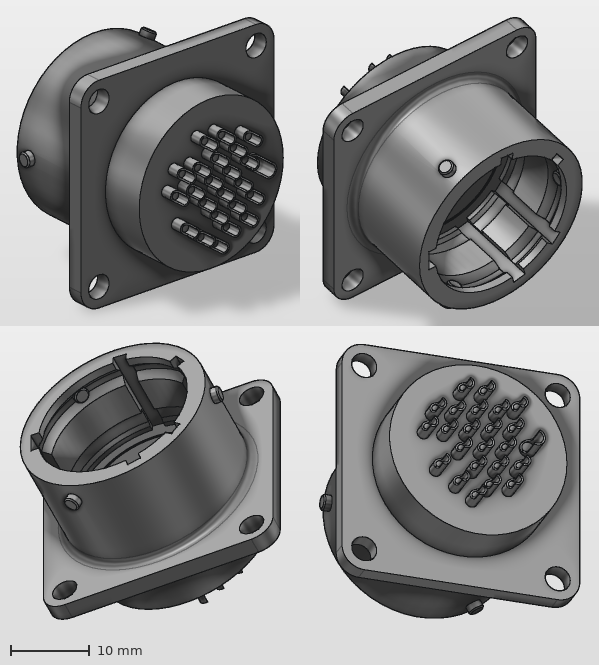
import cadquery as cq
import math


flange_side = 32.0
flange_front = 14.08
flange_thickness = 2.3
flange_corner_radius = 3.0
mount_hole_diameter = 3.35
mount_hole_spacing = 26.05
shell_diameter = 25.8
shell_fillet = 1.02
rear_diameter = 23.87
rear_face = 23.07

lip_depth = 1.15
bore_radius = 10.4
groove_radius = 11.35
groove_end = 2.98
land_end = 8.9
relief_radius = 11.05
relief_end = 11.0
seat_start = 11.6
seat_radius = 10.72
socket_depth = 12.22

insert_radius = 9.1
insert_gap = 0.2
insert_gap_depth = 0.13

key_reach = 11.42
main_key_width = 3.1
main_key_end_reach = 11.3
main_key_angle = 0.0
small_key_width = 1.82
small_key_angles = [95.0, 145.0, 220.0, 255.0]

pin_diameter = 2.08
pin_chamfer = 0.2
pin_position = 2.5
pin_inner_reach = 10.7
pin_outer_reach = 13.92
pin_angles = [60.0, 180.0, 300.0]

contact_end = 26.8
contact_embed = 0.65
cup_wall = 0.25
cup_tilt = -20.0
small_contact_radius = 0.8
small_cup_start = 24.85
large_contact_radius = 1.12
large_cup_start = 23.35
large_contact = (6.62, 1.15)

grid_pitch = 3.0
grid_row_step = grid_pitch * math.sqrt(3) / 2
grid_top_row = 4.6
grid_tilt = 10.0
grid_rows = [
    [-1, 0, 1],
    [-1.5, -0.5, 0.5, 1.5],
    [-1, 0, 1],
    [-0.5, 0.5, 1.5],
    [0, 1],
]
outer_contacts = [
    (-2.6, 7.4),
    (0.22, 7.42),
    (4.65, 5.9),
    (-6.35, 3.95),
    (-7.42, 1.15),
    (-5.8, -3.9),
    (-3.2, -5.9),
    (-0.93, -7.5),
]


def rod(radius, start, end, y=0.0, z=0.0):
    """Cylinder along X between two stations."""
    return cq.Workplane("YZ", origin=(start, y, z)).circle(radius).extrude(end - start)


def turn(shape, angle):
    """Rotate a shape around the connector axis."""
    return shape.rotate((0, 0, 0), (1, 0, 0), angle)


def flange():
    plate = cq.Workplane("YZ", origin=(flange_front, 0, 0)).rect(flange_side, flange_side)
    plate = plate.extrude(flange_thickness).edges("|X").fillet(flange_corner_radius)
    holes = cq.Workplane("YZ", origin=(flange_front, 0, 0))
    holes = holes.rect(mount_hole_spacing, mount_hole_spacing, forConstruction=True).vertices()
    return plate.cut(holes.circle(mount_hole_diameter / 2).extrude(flange_thickness))


def barrel():
    """Front shell, flaring into the flange, and the rear body behind it."""
    shell_radius = shell_diameter / 2
    rear_radius = rear_diameter / 2
    flare_start = flange_front - shell_fillet
    bend = shell_fillet * math.sqrt(0.5)
    profile = (
        cq.Workplane("XY")
        .lineTo(0, shell_radius)
        .lineTo(flare_start, shell_radius)
        .threePointArc(
            (flare_start + bend, shell_radius + shell_fillet - bend),
            (flange_front, shell_radius + shell_fillet),
        )
        .lineTo(flange_front + flange_thickness, shell_radius + shell_fillet)
        .lineTo(flange_front + flange_thickness, rear_radius)
        .lineTo(rear_face, rear_radius)
        .lineTo(rear_face, 0)
        .close()
    )
    return profile.revolve(360, (0, 0, 0), (1, 0, 0))


def socket():
    """Stepped cavity with a coupling groove that has 45 degree flanks."""
    flank = groove_radius - bore_radius
    profile = cq.Workplane("XY").polyline(
        [
            (0, 0),
            (0, bore_radius),
            (lip_depth, bore_radius),
            (lip_depth + flank, groove_radius),
            (groove_end, groove_radius),
            (groove_end + flank, bore_radius),
            (land_end, bore_radius),
            (land_end, relief_radius),
            (relief_end, relief_radius),
            (seat_start, seat_radius),
            (socket_depth, seat_radius),
            (socket_depth, 0),
        ]
    )
    return profile.close().revolve(360, (0, 0, 0), (1, 0, 0))


def keyway(width, end_reach, angle):
    """Flat-floored slot along the whole socket wall; the floor may rise towards its inner end."""
    side = cq.Workplane("XY").polyline(
        [(0, 0), (0, key_reach), (socket_depth, end_reach), (socket_depth, 0)]
    )
    return turn(side.close().extrude(width / 2, both=True), angle)


def insert_ring():
    outer = rod(insert_radius + insert_gap, socket_depth, socket_depth + insert_gap_depth)
    return outer.cut(rod(insert_radius, socket_depth, socket_depth + insert_gap_depth))


def bayonet_pin(angle):
    pin = cq.Workplane("XZ", origin=(pin_position, pin_inner_reach, 0)).circle(pin_diameter / 2)
    pin = pin.extrude(pin_inner_reach - pin_outer_reach).faces("<Y or >Y").chamfer(pin_chamfer)
    return turn(pin, angle)


def solder_contact(radius, cup_start, y, z):
    """Round contact whose end is a half-open cup with a rounded run-out."""
    bend = radius * math.sqrt(0.5)
    opening = (
        cq.Workplane("XY", origin=(0, 0, -radius))
        .moveTo(cup_start, -radius)
        .threePointArc((cup_start + radius - bend, -radius + bend), (cup_start + radius, 0))
        .lineTo(contact_end, 0)
        .lineTo(contact_end, -radius)
        .close()
        .extrude(2 * radius)
    )
    contact = rod(radius, rear_face - contact_embed, contact_end)
    contact = contact.cut(rod(radius - cup_wall, cup_start, contact_end)).cut(opening)
    return turn(contact, cup_tilt).translate((0, y, z))


def grid_contacts():
    """Inner contact places as (Y, Z)."""
    cosine = math.cos(math.radians(grid_tilt))
    sine = math.sin(math.radians(grid_tilt))
    places = []
    for row, columns in enumerate(grid_rows):
        v = grid_top_row - row * grid_row_step
        for column in columns:
            u = column * grid_pitch
            places.append((u * cosine - v * sine, u * sine + v * cosine))
    return places


body = barrel().union(flange()).cut(socket())
body = body.cut(keyway(main_key_width, main_key_end_reach, main_key_angle))
for key_angle in small_key_angles:
    body = body.cut(keyway(small_key_width, key_reach, key_angle))
body = body.cut(insert_ring())

for pin_angle in pin_angles:
    body = body.union(bayonet_pin(pin_angle))

body = body.union(solder_contact(large_contact_radius, large_cup_start, *large_contact))
for place in grid_contacts() + outer_contacts:
    body = body.union(solder_contact(small_contact_radius, small_cup_start, *place))

result = body